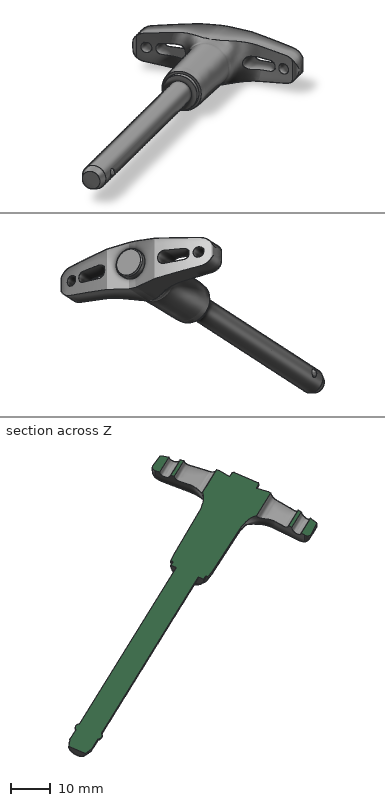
import cadquery as cq
import math


overall_length = 92.96
handle_span = 45.18
handle_depth = 12.7

shank_radius = 3.175
shank_length = 60.56
tip_radius = 2.4
tip_length = 2.1

ball_radius = 1.2
ball_reach = 3.75
ball_to_tip = 6.4

collar_radius = 4.7
collar_length = 1.2
grip_nose_radius = 5.35
grip_front_radius = 5.55
grip_front_y = 3.4
grip_back_radius = 5.85
grip_back_y = 18.9
flare_foot_radius = 6.1
flare_foot_y = 19.7
flare_radius = 5.55

button_radius = 3.85
button_top_y = overall_length - shank_length
button_edge = 0.35

plan_flat_half = 1.0
plan_end_radius = 3.9
valley_half = 1.0
valley_y = button_top_y - 2.0
crest_x = 7.0
crest_y = button_top_y - 1.2
crown_mid_x = 14.5
crown_mid_y = button_top_y - 2.35
end_top_x = 22.3
end_top_y = button_top_y - 4.0
end_corner_y = button_top_y - 7.6
end_top_round = 0.5
end_bottom_round = 1.2
underside_inner_x = 12.4
underside_inner_y = button_top_y - 7.55
underside_outer_x = 21.2
underside_outer_y = button_top_y - 8.8

lanyard_hole_x = 18.65
lanyard_hole_radius = 1.4
slot_inner_x = 7.75
slot_outer_x = 16.2
slot_inner_radius = 1.8
slot_outer_radius = 1.5


def revolve_about_pin(profile):
    """Revolve a closed XY profile (X is the radius) about the pin axis."""
    return profile.close().revolve(360, (0, 0, 0), (0, 1, 0))


def make_shank():
    return revolve_about_pin(
        cq.Workplane("XY")
        .moveTo(0, grip_front_y)
        .lineTo(shank_radius, grip_front_y)
        .lineTo(shank_radius, tip_length - shank_length)
        .lineTo(tip_radius, -shank_length)
        .lineTo(0, -shank_length)
    )


def make_ball(side):
    ball_x = side * (ball_reach - ball_radius)
    return cq.Workplane("XY").sphere(ball_radius).translate((ball_x, ball_to_tip - shank_length, 0))


def make_grip():
    return revolve_about_pin(
        cq.Workplane("XY")
        .lineTo(collar_radius, 0)
        .lineTo(collar_radius, collar_length)
        .lineTo(grip_nose_radius, collar_length)
        .lineTo(grip_front_radius, grip_front_y)
        .lineTo(grip_back_radius, grip_back_y)
        .lineTo(flare_foot_radius, flare_foot_y)
        .lineTo(0, flare_foot_y)
    )


def make_flared_underside():
    """Solid whose lower side is a concave flare around the grip, running out into a shallow cone."""
    slope = (underside_outer_y - underside_inner_y) / (underside_outer_x - underside_inner_x)
    rim_x = handle_span
    rim_y = underside_inner_y + slope * (rim_x - underside_inner_x)
    return revolve_about_pin(
        cq.Workplane("XY")
        .moveTo(0, flare_foot_y)
        .lineTo(flare_foot_radius, flare_foot_y)
        .radiusArc((underside_inner_x, underside_inner_y), flare_radius)
        .lineTo(rim_x, rim_y)
        .lineTo(rim_x, button_top_y)
        .lineTo(0, button_top_y)
    )


def make_plan_prism():
    """Handle outline in XZ: a flat middle tapering to rounded ends, extruded along Y."""
    half_depth = handle_depth / 2
    end_x = handle_span / 2
    center_x = end_x - plan_end_radius
    run = center_x - plan_flat_half
    corner_angle = math.atan2(half_depth, run)
    taper = corner_angle - math.asin(plan_end_radius / math.hypot(run, half_depth))
    tangent_x = center_x + plan_end_radius * math.sin(taper)
    tangent_z = plan_end_radius * math.cos(taper)
    return (
        cq.Workplane("XZ", origin=(0, button_top_y, 0))
        .moveTo(-plan_flat_half, half_depth)
        .lineTo(plan_flat_half, half_depth)
        .lineTo(tangent_x, tangent_z)
        .threePointArc((end_x, 0), (tangent_x, -tangent_z))
        .lineTo(plan_flat_half, -half_depth)
        .lineTo(-plan_flat_half, -half_depth)
        .lineTo(-tangent_x, -tangent_z)
        .threePointArc((-end_x, 0), (-tangent_x, tangent_z))
        .close()
        .extrude(button_top_y)
    )


def make_elevation_prism():
    """Handle outline in XY: a crowned top with a shallow valley, and rounded arm ends.

    Between the arm ends it reaches below the flared underside, which trims it.
    """
    end_x = handle_span / 2
    prism = (
        cq.Workplane("XY")
        .moveTo(-valley_half, valley_y)
        .lineTo(valley_half, valley_y)
        .lineTo(crest_x, crest_y)
        .threePointArc((crown_mid_x, crown_mid_y), (end_top_x, end_top_y))
        .lineTo(end_x, end_corner_y)
        .radiusArc((underside_outer_x, underside_outer_y), end_bottom_round)
        .lineTo(flare_foot_radius, grip_back_y)
        .lineTo(-flare_foot_radius, grip_back_y)
        .lineTo(-underside_outer_x, underside_outer_y)
        .radiusArc((-end_x, end_corner_y), end_bottom_round)
        .lineTo(-end_top_x, end_top_y)
        .threePointArc((-crown_mid_x, crown_mid_y), (-crest_x, crest_y))
        .close()
        .extrude(handle_depth / 2, both=True)
    )
    for side in (-1, 1):
        top_corner = cq.selectors.NearestToPointSelector((side * end_top_x, end_top_y, 0))
        prism = prism.edges(top_corner).fillet(end_top_round)
    return prism


def make_button():
    return (
        cq.Workplane("XZ", origin=(0, button_top_y, 0))
        .circle(button_radius)
        .extrude(button_top_y - flare_foot_y)
        .faces(">Y")
        .chamfer(button_edge)
    )


def make_arm_holes(side):
    hole = (
        cq.Workplane("XZ", origin=(side * lanyard_hole_x, button_top_y, 0))
        .circle(lanyard_hole_radius)
        .extrude(button_top_y)
    )
    inner_center = slot_inner_x + slot_inner_radius
    outer_center = slot_outer_x - slot_outer_radius
    slot = (
        cq.Workplane("XZ", origin=(0, button_top_y, 0))
        .moveTo(side * inner_center, slot_inner_radius)
        .threePointArc((side * slot_inner_x, 0), (side * inner_center, -slot_inner_radius))
        .lineTo(side * outer_center, -slot_outer_radius)
        .threePointArc((side * slot_outer_x, 0), (side * outer_center, slot_outer_radius))
        .close()
        .extrude(button_top_y)
    )
    return hole.union(slot)


handle = make_plan_prism().intersect(make_flared_underside()).intersect(make_elevation_prism())
for arm_side in (-1, 1):
    handle = handle.cut(make_arm_holes(arm_side))

result = handle.union(make_grip()).union(make_shank()).union(make_button())
for ball_side in (-1, 1):
    result = result.union(make_ball(ball_side))